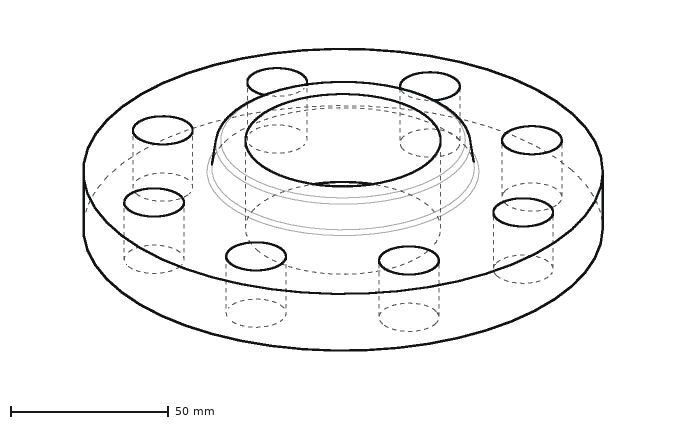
import cadquery as cq

flange_diameter = 165.0
flange_thickness = 20.5
bore_diameter = 62.0

overall_height = 31.7
hub_base_diameter = 83.8
hub_top_diameter = 80.5
hub_base_fillet = 1.5
hub_top_fillet = 1.7

bolt_count = 8
bolt_circle_diameter = 127.1
bolt_hole_diameter = 19.0


def flange_with_hub():
    """Disc and tapered hub, revolved as one solid about Z."""
    profile = (
        cq.Workplane("XZ")
        .lineTo(flange_diameter / 2, 0)
        .lineTo(flange_diameter / 2, flange_thickness)
        .lineTo(hub_base_diameter / 2, flange_thickness)
        .lineTo(hub_top_diameter / 2, overall_height)
        .lineTo(0, overall_height)
        .close()
    )
    return profile.revolve(360, (0, 0, 0), (0, 1, 0))


def round_hub(body):
    """Round the hub's rim and blend its foot into the disc."""
    body = body.faces(">Z").edges().fillet(hub_top_fillet)
    foot_height = cq.selectors.BoxSelector(
        (-flange_diameter, -flange_diameter, flange_thickness - hub_base_fillet),
        (flange_diameter, flange_diameter, flange_thickness + hub_base_fillet),
    )
    foot = body.edges(foot_height).edges(cq.selectors.RadiusNthSelector(0))
    return foot.fillet(hub_base_fillet)


def cut_holes(body):
    """Cut the central bore and the ring of bolt holes right through."""
    body = body.faces("<Z").workplane().hole(bore_diameter)
    return (
        body.faces("<Z")
        .workplane()
        .polarArray(bolt_circle_diameter / 2, 0, 360, bolt_count)
        .hole(bolt_hole_diameter)
    )


result = cut_holes(round_hub(flange_with_hub()))